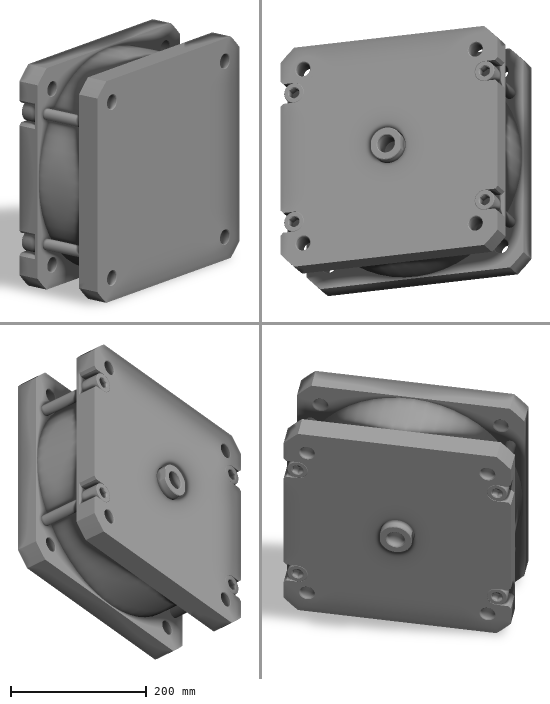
import cadquery as cq
import math

plate_side = 340.0
corner_turning_radius = 225.8
plate_thickness = 34.5
barrel_length = 77.2
barrel_diameter = 335.0

mount_hole_pitch = 270.0
mount_hole_diameter = 21.8
mount_hole_chamfer = 1.0

tie_pitch_y = 298.5
tie_pitch_z = 200.0
tie_diameter = 17.0
tie_depth_in_rear_plate = 23.8

head_diameter = 30.5
head_length = 29.2
head_chamfer = 0.7
socket_across_flats = 15.0
socket_rim_diameter = 18.0
socket_depth = 17.0
slot_mouth_chamfer = 4.0

rod_diameter = 49.5
rod_overhang = 14.3
rod_across_flats = 46.0
flat_to_plate_gap = 1.5
rod_bore_clearance = 1.0
rod_tip_chamfer = 1.0
rod_hole_diameter = 27.2
rod_hole_chamfer = 1.0
rod_hole_depth = 34.0
drill_point_angle = 120.0

front_plate_back = plate_thickness
rear_plate_front = front_plate_back + barrel_length
tie_end = rear_plate_front + tie_depth_in_rear_plate
half_side = plate_side / 2

signs = (-1, 1)
tie_places = [(sy * tie_pitch_y / 2, sz * tie_pitch_z / 2) for sy in signs for sz in signs]
mount_places = [(sy * mount_hole_pitch / 2, sz * mount_hole_pitch / 2) for sy in signs for sz in signs]


def plane_at(x):
    """YZ plane whose local x and y are the part's Y and Z."""
    return cq.Workplane("YZ", origin=(x, 0, 0))


def cylinder(diameter, x_start, x_end, y=0.0, z=0.0):
    return plane_at(x_start).center(y, z).circle(diameter / 2).extrude(x_end - x_start)


def drilled_plate(x_start):
    """Square plate with turned corners and four mounting holes."""
    plate = plane_at(x_start).rect(plate_side, plate_side).extrude(plate_thickness)
    plate = plate.intersect(cylinder(2 * corner_turning_radius, x_start, x_start + plate_thickness))
    holes = plane_at(x_start).pushPoints(mount_places).circle(mount_hole_diameter / 2)
    plate = plate.cut(holes.extrude(plate_thickness))
    rims = cq.selectors.RadiusNthSelector(0)
    return plate.edges("%CIRCLE").edges(rims).chamfer(mount_hole_chamfer)


def head_slot(y, z):
    """Recess for a bolt head, open to the nearer side of the plate through a chamfered mouth."""
    side = math.copysign(1, y)
    half_width = head_diameter / 2
    mouth_half_width = half_width + slot_mouth_chamfer
    mouth_start = side * (half_side - slot_mouth_chamfer)
    mouth_end = side * half_side
    return (
        plane_at(0)
        .moveTo(y, z + half_width)
        .lineTo(mouth_start, z + half_width)
        .lineTo(mouth_end, z + mouth_half_width)
        .lineTo(mouth_end, z - mouth_half_width)
        .lineTo(mouth_start, z - half_width)
        .lineTo(y, z - half_width)
        .threePointArc((y - side * half_width, z), (y, z + half_width))
        .close()
        .extrude(head_length)
    )


def make_front_plate():
    plate = drilled_plate(0)
    plate = plate.cut(cylinder(rod_diameter + 2 * rod_bore_clearance, 0, front_plate_back))
    for y, z in tie_places:
        plate = plate.cut(head_slot(y, z))
        plate = plate.cut(cylinder(tie_diameter, 0, front_plate_back, y, z))
    return plate


def make_rear_plate():
    plate = drilled_plate(rear_plate_front)
    for y, z in tie_places:
        plate = plate.cut(cylinder(tie_diameter, rear_plate_front, tie_end, y, z))
    return plate


def make_barrel():
    return cylinder(barrel_diameter, front_plate_back, rear_plate_front)


def hex_socket(y, z):
    """Hexagonal recess with corners toward +Z and -Z and a 45 degree conical lead-in."""
    across_corners = socket_across_flats / math.cos(math.pi / 6)
    hexagon = plane_at(0).center(y, z).transformed(rotate=(0, 0, 90)).polygon(6, across_corners)
    rim_radius = socket_rim_diameter / 2
    lead_in = cq.Solid.makeCone(rim_radius, 0, rim_radius, cq.Vector(0, y, z), cq.Vector(1, 0, 0))
    return hexagon.extrude(socket_depth).union(cq.Workplane(lead_in))


def make_tie_bolt(y, z):
    """Socket-head bolt reaching from the front plate into the rear plate."""
    head = cylinder(head_diameter, 0, head_length, y, z).faces("<X").edges().chamfer(head_chamfer)
    shank = cylinder(tie_diameter, head_length, tie_end, y, z)
    return head.union(shank).cut(hex_socket(y, z))


def make_rod():
    """Piston rod end with two wrench flats facing +Y and -Y and a countersunk drilled hole."""
    rod = cylinder(rod_diameter, -rod_overhang, front_plate_back)
    rod = rod.faces("<X").edges().chamfer(rod_tip_chamfer)
    flat_length = rod_overhang - flat_to_plate_gap
    flat_stock = plane_at(-rod_overhang).rect(rod_diameter, rod_diameter).extrude(flat_length)
    flat_core = plane_at(-rod_overhang).rect(rod_across_flats, rod_diameter).extrude(flat_length)
    rod = rod.cut(flat_stock.cut(flat_core))

    radius = rod_hole_diameter / 2
    point_length = radius / math.tan(math.radians(drill_point_angle / 2))
    hole_end = rod_hole_depth - rod_overhang
    hole = (
        cq.Workplane("XY")
        .moveTo(-rod_overhang, 0)
        .lineTo(-rod_overhang, radius + rod_hole_chamfer)
        .lineTo(-rod_overhang + rod_hole_chamfer, radius)
        .lineTo(hole_end, radius)
        .lineTo(hole_end + point_length, 0)
        .close()
        .revolve(360, (0, 0, 0), (1, 0, 0))
    )
    return rod.cut(hole)


front_plate = make_front_plate()
rear_plate = make_rear_plate()
barrel = make_barrel()
rod = make_rod()
tie_bolts = [make_tie_bolt(y, z) for y, z in tie_places]

result = cq.Compound.makeCompound(
    [front_plate.val(), rear_plate.val(), barrel.val(), rod.val(), *[bolt.val() for bolt in tie_bolts]]
)